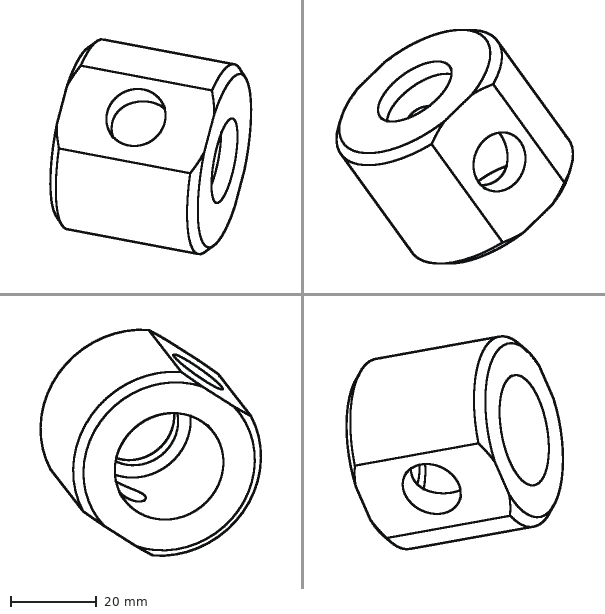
import cadquery as cq

length = 36.0
outer_diameter = 45.0
edge_chamfer = 2.0
bore_diameter = 26.0
bore_depth = 32.0
end_hole_diameter = 20.0
flat_distance = 20.0
flat_tilt = 36.0
cross_hole_diameter = 14.0
skin_thickness = 0.1
cross_hole_offset = 0.5

half_length = length / 2


def axial_cylinder(diameter, start_x, depth):
    """Cylinder on the collar axis, running toward +X."""
    return cq.Workplane("YZ", origin=(start_x, 0, 0)).circle(diameter / 2).extrude(depth)


def cross_hole(depth):
    """Cylinder square to Z, from the axis plane toward one flat."""
    return cq.Workplane("XY").center(0, cross_hole_offset).circle(cross_hole_diameter / 2).extrude(depth)


body = axial_cylinder(outer_diameter, -half_length, length).edges().chamfer(edge_chamfer)

flats_envelope = cq.Workplane("XY").box(length, outer_diameter, 2 * flat_distance)
body = body.intersect(flats_envelope)

bore_sleeve = axial_cylinder(bore_diameter + 2 * skin_thickness, -half_length, length)
upper_hole = cross_hole(flat_distance).cut(bore_sleeve)
lower_hole = cross_hole(-flat_distance)
body = body.cut(upper_hole).cut(lower_hole)

body = body.rotate((0, 0, 0), (1, 0, 0), flat_tilt)

wide_bore = axial_cylinder(bore_diameter, -half_length, bore_depth)
end_hole = axial_cylinder(end_hole_diameter, -half_length, length)
result = body.cut(wide_bore).cut(end_hole)